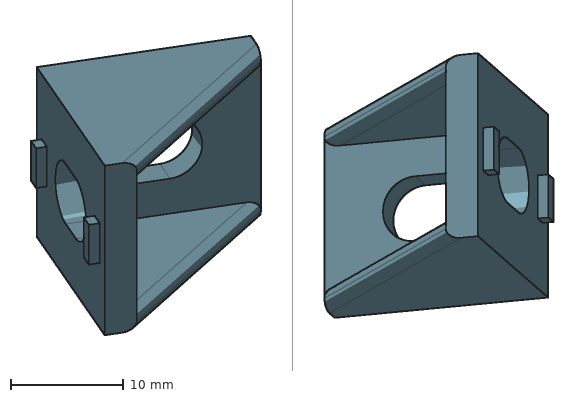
import cadquery as cq

overall = 21.0
leg = 20.0
height = 17.0
wall = 3.0
web = 2.0
edge_radius = 0.99

slot_length = 9.0
slot_width = 6.0

tab_depth = overall - leg
tab_width = 1.5
tab_height = 4.0
tab_inset = 1.5

mid_height = height / 2
tab_offset = leg / 2 - tab_inset - tab_width / 2

wall_planes = [
    cq.Plane(origin=(leg / 2, 0, mid_height), xDir=(1, 0, 0), normal=(0, -1, 0)),
    cq.Plane(origin=(0, leg / 2, mid_height), xDir=(0, 1, 0), normal=(-1, 0, 0)),
]


def make_body():
    """Triangular block, with the tips of both walls cut square."""
    outline = [(0, 0), (leg, 0), (leg, wall), (wall, leg), (0, leg)]
    return cq.Workplane("XY").polyline(outline).close().extrude(height)


def make_cavity():
    """Triangular space between walls and webs, reaching the sloping side."""
    outline = [(wall, wall), (leg, wall), (leg, leg), (wall, leg)]
    return (
        cq.Workplane("XY", origin=(0, 0, web))
        .polyline(outline)
        .close()
        .extrude(height - 2 * web)
    )


def make_slot(plane):
    """Rounded screw slot through one wall."""
    return cq.Workplane(plane).slot2D(slot_length, slot_width).extrude(-wall)


def make_tabs(plane):
    """Pair of locating tabs standing out from one wall."""
    return (
        cq.Workplane(plane)
        .pushPoints([(-tab_offset, 0), (tab_offset, 0)])
        .rect(tab_width, tab_height)
        .extrude(tab_depth)
    )


sloping_edges = cq.selectors.ParallelDirSelector(cq.Vector(1, -1, 0))
result = make_body().cut(make_cavity())
result = result.edges(sloping_edges).fillet(edge_radius)

for wall_plane in wall_planes:
    result = result.cut(make_slot(wall_plane)).union(make_tabs(wall_plane))